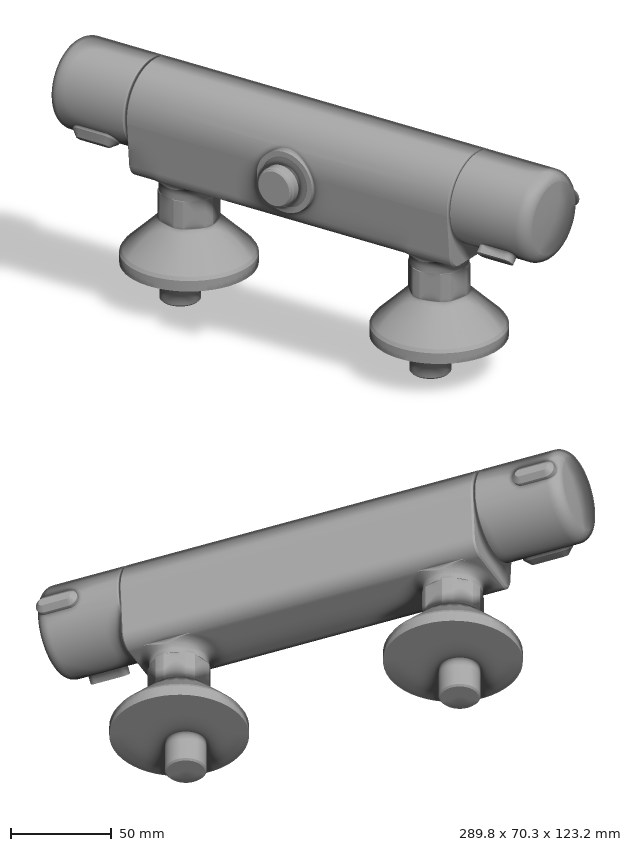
import cadquery as cq
import math


overall_length = 289.8
height = 123.2
handle_diameter = 48.5
handle_radius = handle_diameter / 2
axis_z = height - handle_radius
connection_x = 75.0

body_length = 193.5
body_shift_x = 0.3
body_bottom_z = 65.5
body_bottom_half_width = 21.2
body_bottom_fillet = 8.0
body_end_chamfer = 1.0

groove_width = 0.5
core_radius = 20.0
core_overlap = 3.0
handle_start_x = body_length / 2 + body_shift_x + groove_width
handle_end_x = overall_length / 2
dome_rise = 1.2
dome_radius = 19.0
rim_length = 7.5
handle_chamfer = 0.5

button_top_radius = 28.5
button_root_radius = 20.3
rear_button = {"x": 130.7, "length": 22.5, "width": 9.3, "chamfer": 2.5}
left_button = {"x": 118.8, "length": 26.7, "width": 11.0, "chamfer": 3.5}
right_button = {"x": 122.3, "length": 21.2, "width": 7.2, "chamfer": 0.0}
front_button_angle = 45.0

neck_radius = 15.0
flare = 4.5
flare_half_width = 15.6
nut_radius = 15.6
nut_across_flats = 29.3
nut_turn = 14.0
nut_top_z = 57.5
nut_bottom_z = 42.0
plate_radius = 34.8
plate_bottom_z = 17.0
plate_edge_z = 23.0
cone_bottom_z = 24.5
cone_radius = 33.5
pipe_radius = 10.5
pipe_offset_y = -7.8
pipe_chamfer = 1.0

outlet_z = 91.0
outlet_tip = 35.5
outlet_root = 14.5
base_radius = 18.0
base_start = 20.3
flange_radius = 16.5
flange_back = 23.8
flange_face = 26.0
recess_radius = 13.5
recess_depth = 1.0
outlet_neck_radius = 8.7
head_radius = 10.5
head_back = 28.0
head_wide_start = 29.0
head_wide_end = 32.7
head_shoulder = 33.5
head_tip_radius = 9.9
head_tip_chamfer = 0.5


def mirrored(solid):
    """The same solid on the other end of the part."""
    return solid.mirror("YZ")


def make_core():
    """Cylinder that joins the handles to the body across the grooves."""
    core_end_x = handle_start_x + core_overlap
    return cq.Workplane("YZ", origin=(-core_end_x, 0, axis_z)).circle(core_radius).extrude(2 * core_end_x)


def make_body():
    """Round-topped bar with leaning flat sides and rounded lower edges."""
    drop = axis_z - body_bottom_z
    corner_distance = math.hypot(body_bottom_half_width, drop)
    corner_angle = math.atan2(-drop, body_bottom_half_width)
    tangent_angle = corner_angle + math.acos(handle_radius / corner_distance)
    tangent_y = handle_radius * math.cos(tangent_angle)
    tangent_z = axis_z + handle_radius * math.sin(tangent_angle)
    body = (
        cq.Workplane("YZ", origin=(body_shift_x - body_length / 2, 0, 0))
        .moveTo(-body_bottom_half_width, body_bottom_z)
        .lineTo(body_bottom_half_width, body_bottom_z)
        .lineTo(tangent_y, tangent_z)
        .threePointArc((0, height), (-tangent_y, tangent_z))
        .close()
        .extrude(body_length)
    )
    body = body.faces("<Z").edges("|X").fillet(body_bottom_fillet)
    return body.faces("<X or >X").chamfer(body_end_chamfer)


def make_handle():
    """Right-hand handle with a rounded rim and a slightly domed end."""
    rim_start_x = handle_end_x - rim_length
    dome_edge_x = handle_end_x - dome_rise
    sphere_radius = (dome_radius**2 + dome_rise**2) / (2 * dome_rise)
    mid_radius = dome_radius / 2
    mid_x = handle_end_x - sphere_radius + math.sqrt(sphere_radius**2 - mid_radius**2)
    return (
        cq.Workplane("XY", origin=(0, 0, axis_z))
        .moveTo(handle_start_x, 0)
        .lineTo(handle_start_x, handle_radius - handle_chamfer)
        .lineTo(handle_start_x + handle_chamfer, handle_radius)
        .lineTo(rim_start_x, handle_radius)
        .tangentArcPoint((dome_edge_x, dome_radius), relative=False)
        .threePointArc((mid_x, mid_radius), (handle_end_x, 0))
        .close()
        .revolve(360, (0, 0), (1, 0))
    )


def make_button(size, side, angle):
    """Button with round ends; side is the X sign, angle turns its top from +Y up about X."""
    button = (
        cq.Workplane("XZ", origin=(side * size["x"], button_root_radius, 0))
        .slot2D(size["length"], size["width"])
        .extrude(button_root_radius - button_top_radius)
    )
    if size["chamfer"]:
        button = button.faces(">Y").chamfer(size["chamfer"])
    return button.rotate((0, 0, 0), (1, 0, 0), angle).translate((0, 0, axis_z))


def make_connection():
    """Left-hand wall connection: flared neck, nut, cover plate and off-centre pipe."""
    neck = (
        cq.Workplane("XZ")
        .moveTo(0, nut_top_z)
        .lineTo(neck_radius, nut_top_z)
        .lineTo(neck_radius, body_bottom_z - flare)
        .tangentArcPoint((neck_radius + flare, body_bottom_z), relative=False)
        .lineTo(neck_radius + flare, body_bottom_z + flare)
        .lineTo(0, body_bottom_z + flare)
        .close()
        .revolve(360, (0, 0), (0, 1))
        .intersect(cq.Workplane("XY").box(4 * neck_radius, 2 * flare_half_width, 2 * height))
    )
    nut_height = nut_top_z - nut_bottom_z
    nut = (
        cq.Workplane("XY", origin=(0, 0, nut_bottom_z))
        .polygon(6, nut_across_flats, circumscribed=True)
        .extrude(nut_height)
        .rotate((0, 0, 0), (0, 0, 1), nut_turn)
        .intersect(cq.Workplane("XY", origin=(0, 0, nut_bottom_z)).circle(nut_radius).extrude(nut_height))
    )
    plate = (
        cq.Workplane("XZ")
        .polyline([
            (0, plate_bottom_z),
            (plate_radius, plate_bottom_z),
            (plate_radius, plate_edge_z),
            (cone_radius, cone_bottom_z),
            (nut_radius, nut_bottom_z),
            (0, nut_bottom_z),
        ])
        .close()
        .revolve(360, (0, 0), (0, 1))
    )
    pipe = (
        cq.Workplane("XY")
        .center(0, pipe_offset_y)
        .circle(pipe_radius)
        .extrude(cone_bottom_z)
        .faces("<Z")
        .chamfer(pipe_chamfer)
    )
    return neck.union(nut).union(plate).union(pipe).translate((-connection_x, 0, 0))


def make_outlet():
    """Round flange and grooved connector, revolved about the outlet's Y axis."""
    return (
        cq.Workplane("XY", origin=(0, 0, outlet_z))
        .polyline([
            (0, -outlet_root),
            (base_radius, -outlet_root),
            (base_radius, -base_start),
            (flange_radius, -flange_back),
            (flange_radius, -flange_face),
            (recess_radius, -flange_face),
            (recess_radius, -flange_face + recess_depth),
            (outlet_neck_radius, -flange_face + recess_depth),
            (outlet_neck_radius, -head_back),
            (head_radius, -head_wide_start),
            (head_radius, -head_wide_end),
            (head_tip_radius, -head_shoulder),
            (head_tip_radius, -outlet_tip + head_tip_chamfer),
            (head_tip_radius - head_tip_chamfer, -outlet_tip),
            (0, -outlet_tip),
        ])
        .close()
        .revolve(360, (0, 0), (0, 1))
    )


handle = make_handle()
rear = make_button(rear_button, 1, 0)
connection = make_connection()
connections = connection.union(mirrored(connection)).translate((body_shift_x, 0, 0))
front_turn = 180 + front_button_angle

result = make_body().union(make_core())
for feature in (handle, rear):
    result = result.union(feature).union(mirrored(feature))
result = (
    result.union(make_button(left_button, -1, front_turn))
    .union(make_button(right_button, 1, front_turn))
    .union(connections)
    .union(make_outlet())
)